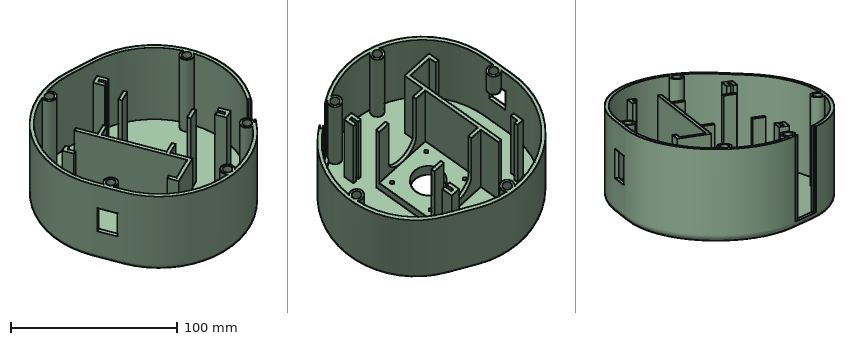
import cadquery as cq
import math

height = 60.0
triangle_side = 20.0
corner_radius = 59.225
wall = 2.5
floor = 2.5
bottom_fillet = 5.0

triangle_apex = triangle_side / math.sqrt(3)
side_distance = triangle_apex / 2 + corner_radius

motor_size = 42.0
seat_top = 9.0
motor_bore = 22.2
motor_screw_hole = 2.52
motor_screw_spacing = 31.0
side_slot_width = 25.0

holder_length = 75.5
holder_front = -43.25
holder_lip = 7.6
holder_stub = 5.0

guide_outer_x = 43.25
guide_y = 24.4
guide_length = 7.6
guide_groove = 1.7

boss_diameter = 9.0
boss_hole = 6.0
boss_points = [(0, 65.2), (-63.2, 0), (56.4, 21.1), (60.9, -22.4)]
window_boss_point = (0, -59.3)

window_width = 13.0
window_bottom = 23.3
window_height = 18.6
gap_width = 16.8
gap_offset = 1.15
gap_groove_depth = 2.2
gap_sill = 5.0
gap_angle = 30.0


def block(x_min, x_max, y_min, y_max, z_min=0.0, z_max=height):
    """Axis-aligned box given by its limits."""
    size = (x_max - x_min, y_max - y_min, z_max - z_min)
    return cq.Workplane("XY").box(*size, centered=False).translate((x_min, y_min, z_min))


def rounded_triangle(radius, z_min, z_max):
    """Prism over the hull of three circles, apex toward +Y."""

    def rim_point(center_angle, direction):
        center = math.radians(center_angle)
        angle = math.radians(direction)
        return (
            triangle_apex * math.cos(center) + radius * math.cos(angle),
            triangle_apex * math.sin(center) + radius * math.sin(angle),
        )

    outline = cq.Workplane("XY", origin=(0, 0, z_min)).moveTo(*rim_point(90, 30))
    for corner in (90, 210, 330):
        outline = outline.threePointArc(rim_point(corner, corner), rim_point(corner, corner + 60))
        outline = outline.lineTo(*rim_point(corner + 120, corner + 60))
    return outline.close().extrude(z_max - z_min)


def make_shell():
    """Open-topped housing with a rounded bottom edge."""
    outer = rounded_triangle(corner_radius, 0, height).faces("<Z").edges().fillet(bottom_fillet)
    return outer.cut(rounded_triangle(corner_radius - wall, floor, height))


def make_motor_seat():
    """Raised square seat between two side walls, each with a round-bottomed slot."""
    half = motor_size / 2
    outer = half + wall
    slot_radius = side_slot_width / 2
    slot_center = seat_top + slot_radius
    slot = cq.Workplane("YZ", origin=(-outer, 0, slot_center)).circle(slot_radius).extrude(2 * outer)
    slot = slot.union(block(-outer, outer, -slot_radius, slot_radius, slot_center, height))
    walls = block(-outer, -half, -half, half).union(block(half, outer, -half, half))
    return block(-half, half, -half, half, 0, seat_top).union(walls.cut(slot))


def make_board_holder():
    """Back wall, right arm with a lip, and a separate L-shaped post at front left."""
    half = holder_length / 2
    back = -motor_size / 2
    lip_back = holder_front + wall
    holder = block(-half, half, back - wall, back)
    holder = holder.union(block(half - wall, half, holder_front, back))
    holder = holder.union(block(half - holder_lip, half, holder_front, lip_back))
    holder = holder.union(block(-half, -half + holder_lip, holder_front, lip_back))
    return holder.union(block(-half, -half + wall, holder_front, holder_front + holder_stub))


def make_guide_post():
    """Guide post on the +X side, its groove open toward -X."""
    half_groove = guide_groove / 2
    half_width = half_groove + wall
    inner_x = guide_outer_x - guide_length
    post = block(inner_x, guide_outer_x, guide_y - half_width, guide_y + half_width)
    groove = block(
        inner_x, guide_outer_x - wall, guide_y - half_groove, guide_y + half_groove, floor
    )
    return post.cut(groove)


def make_motor_holes():
    """Central bore and four screw holes through the seat."""
    bore = cq.Workplane("XY").circle(motor_bore / 2).extrude(seat_top)
    screws = (
        cq.Workplane("XY")
        .rect(motor_screw_spacing, motor_screw_spacing, forConstruction=True)
        .vertices()
        .circle(motor_screw_hole / 2)
        .extrude(seat_top)
    )
    return bore.union(screws)


def make_window():
    """Rectangular window through the flat -Y side."""
    half = window_width / 2
    front = -side_distance
    window_top = window_bottom + window_height
    return block(-half, half, front - wall, front + 2 * wall, window_bottom, window_top)


def make_gap():
    """Gap in the flat side facing +X +Y, with a panel groove in the wall at both ends."""
    half_gap = gap_width / 2
    half_panel = half_gap + gap_groove_depth
    skin = (wall - guide_groove) / 2
    inner = side_distance - wall
    gap = block(
        inner - wall, side_distance + wall, gap_offset - half_gap, gap_offset + half_gap, gap_sill
    )
    groove = block(
        inner + skin, side_distance - skin, gap_offset - half_panel, gap_offset + half_panel, gap_sill
    )
    return gap.union(groove).rotate((0, 0, 0), (0, 0, 1), gap_angle)


def make_boss(point, bottom):
    """Tubular screw boss from the given level up to the rim."""
    ring = cq.Workplane("XY", origin=(*point, bottom)).circle(boss_diameter / 2).circle(boss_hole / 2)
    return ring.extrude(height - bottom)


guide = make_guide_post()
result = (
    make_shell()
    .cut(make_window())
    .cut(make_gap())
    .union(make_motor_seat())
    .union(make_board_holder())
    .union(guide)
    .union(guide.mirror("YZ"))
    .cut(make_motor_holes())
)
for boss_point in boss_points:
    result = result.union(make_boss(boss_point, floor))
result = result.union(make_boss(window_boss_point, window_bottom + window_height))